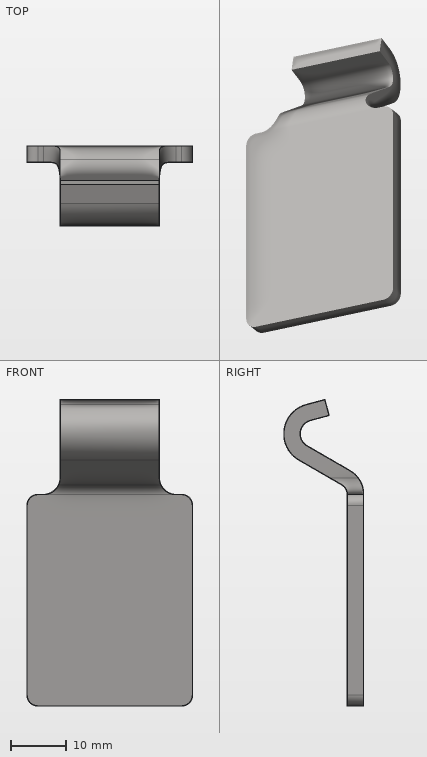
import cadquery as cq
import math

THICKNESS = 3.0
PLATE_WIDTH = 30.0
PLATE_HEIGHT = 38.34
CORNER_RADIUS = 2.0
NECK_WIDTH = 18.0
NECK_FILLET = 3.0
OVERALL_DEPTH = 14.5
OVERALL_HEIGHT = 55.53
BEND_INNER_RADIUS = 2.0
HOOK_INNER_RADIUS = 2.5
ARM_ANGLE = 30.0
LIP_ANGLE = 15.0

BEND_OUTER_RADIUS = BEND_INNER_RADIUS + THICKNESS
HOOK_OUTER_RADIUS = HOOK_INNER_RADIUS + THICKNESS

BEND_END = 90.0 - ARM_ANGLE
HOOK_START = 270.0 - ARM_ANGLE
HOOK_END = 90.0 + LIP_ANGLE

BEND_CENTRE_Y = -BEND_INNER_RADIUS
BEND_CENTRE_Z = PLATE_HEIGHT
HOOK_CENTRE_Y = THICKNESS - OVERALL_DEPTH + HOOK_OUTER_RADIUS
ARM_COS = math.cos(math.radians(ARM_ANGLE))
ARM_TAN = math.tan(math.radians(ARM_ANGLE))
HOOK_CENTRE_Z = (
    BEND_CENTRE_Z
    + (BEND_OUTER_RADIUS + HOOK_INNER_RADIUS) / ARM_COS
    + (BEND_CENTRE_Y - HOOK_CENTRE_Y) * ARM_TAN
)

HOOK_TOP_Z = HOOK_CENTRE_Z + HOOK_OUTER_RADIUS * math.cos(math.radians(LIP_ANGLE))
LIP_LENGTH = (OVERALL_HEIGHT - HOOK_TOP_Z) / math.sin(math.radians(LIP_ANGLE))


def polar(centre_y, centre_z, radius, angle):
    """Point in the YZ plane at a radius and angle from a centre."""
    turn = math.radians(angle)
    return (centre_y + radius * math.cos(turn), centre_z + radius * math.sin(turn))


def on_bend(radius, angle):
    return polar(BEND_CENTRE_Y, BEND_CENTRE_Z, radius, angle)


def on_hook(radius, angle):
    return polar(HOOK_CENTRE_Y, HOOK_CENTRE_Z, radius, angle)


def lip_tip(radius):
    """End of the lip face that leaves the hook at the given radius."""
    start_y, start_z = on_hook(radius, HOOK_END)
    return polar(start_y, start_z, LIP_LENGTH, LIP_ANGLE)


def bent_sheet():
    """Side profile of the bent sheet, extruded over the full plate width."""
    bend_middle = BEND_END / 2
    hook_middle = (HOOK_START + HOOK_END) / 2
    profile = (
        cq.Workplane("YZ")
        .moveTo(THICKNESS, 0)
        .lineTo(*on_bend(BEND_OUTER_RADIUS, 0))
        .threePointArc(on_bend(BEND_OUTER_RADIUS, bend_middle), on_bend(BEND_OUTER_RADIUS, BEND_END))
        .lineTo(*on_hook(HOOK_INNER_RADIUS, HOOK_START))
        .threePointArc(on_hook(HOOK_INNER_RADIUS, hook_middle), on_hook(HOOK_INNER_RADIUS, HOOK_END))
        .lineTo(*lip_tip(HOOK_INNER_RADIUS))
        .lineTo(*lip_tip(HOOK_OUTER_RADIUS))
        .lineTo(*on_hook(HOOK_OUTER_RADIUS, HOOK_END))
        .threePointArc(on_hook(HOOK_OUTER_RADIUS, hook_middle), on_hook(HOOK_OUTER_RADIUS, HOOK_START))
        .lineTo(*on_bend(BEND_INNER_RADIUS, BEND_END))
        .threePointArc(on_bend(BEND_INNER_RADIUS, bend_middle), on_bend(BEND_INNER_RADIUS, 0))
        .lineTo(0, 0)
        .close()
    )
    return profile.extrude(PLATE_WIDTH / 2, both=True)


def front_outline():
    """Plate and neck outline in X and Z, extruded through the full depth."""
    def column(width, height):
        return cq.Workplane("XY").box(width, OVERALL_DEPTH, height, centered=(True, True, False))

    plate = column(PLATE_WIDTH, PLATE_HEIGHT).edges("|Y").fillet(CORNER_RADIUS)
    outline = plate.union(column(NECK_WIDTH, OVERALL_HEIGHT))
    for side in (-1, 1):
        neck_corner = cq.NearestToPointSelector((side * NECK_WIDTH / 2, 0, PLATE_HEIGHT))
        outline = outline.edges("|Y").edges(neck_corner).fillet(NECK_FILLET)
    return outline.translate((0, THICKNESS - OVERALL_DEPTH / 2, 0))


result = bent_sheet().intersect(front_outline())